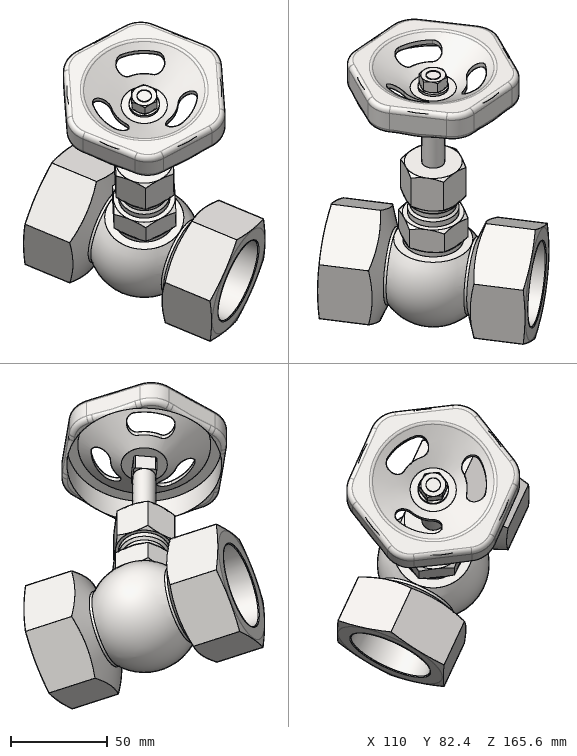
import cadquery as cq
import math

TAN30 = math.tan(math.radians(30))
COS30 = math.cos(math.radians(30))

body_length = 110.0
ball_radius = 29.0
neck_diameter = 41.0
body_hex_flats = 60.0
body_hex_inner_x = 27.9
neck_length = 1.5
end_face_radius = 29.5
end_chamfer = 1.0

bore_diameter = 44.8
bore_depth = 19.9
bore_chamfer = 0.5
cone_mouth_diameter = 30.3
passage_diameter = 15.0
passage_z = -7.0
passage_end_x = 13.3

collar_diameter = 31.5
bonnet_hex_flats = 32.0
bonnet_hex_bottom = 23.5
bonnet_hex_top = 38.0
thread_diameter = 26.7
groove_diameter = 23.9
groove_bottom = 42.6
groove_top = 45.3
groove_flank = 1.3
gland_hex_flats = 30.0
gland_hex_bottom = 49.4
gland_hex_top = 70.3

stem_diameter = 12.0
square_bottom = 105.8
square_side = 12.0
square_corner_diameter = 15.8
square_angle = 30.0

wheel_bottom = 115.0
wheel_height = 16.0
wheel_flats = 81.9
wheel_corner_radius = 15.0
wheel_edge_radius = 2.8
wheel_angle = 0.9
rim_roof_thickness = 1.2
cavity_diameter = 80.0
hub_diameter = 23.9
hub_thickness = 2.7
dish_radius = 32.2
dish_edge_radius = 3.0
slot_count = 3
slot_center_radius = 22.5
slot_width = 10.0
slot_half_angle = 20.0
slot_angle = 3.0

washer_diameter = 15.8
washer_thickness = 1.3
wheel_nut_flats = 13.0
wheel_nut_top = 125.8
stem_end_diameter = 7.5
stem_end_recess = 0.5

wheel_top = wheel_bottom + wheel_height
hub_top = wheel_bottom + hub_thickness
neck_radius = neck_diameter / 2
ball_flat_z = math.sqrt(ball_radius**2 - neck_radius**2)


def cylinder(diameter, z_low, z_high):
    return cq.Workplane("XY").workplane(offset=z_low).circle(diameter / 2).extrude(z_high - z_low)


def hexagon(flats, z_low, z_high):
    """Hexagonal prism with two corners on the X axis."""
    prism = cq.Workplane("XY").workplane(offset=z_low)
    return prism.polygon(6, flats / COS30).extrude(z_high - z_low)


def hex_nut(flats, z_low, z_high):
    """Hexagonal prism with 30 degree chamfers starting from the inscribed circle."""
    inscribed = flats / 2
    corner = inscribed / COS30
    drop = (corner - inscribed) * TAN30
    envelope = (
        cq.Workplane("XZ")
        .moveTo(0, z_low)
        .lineTo(inscribed, z_low)
        .lineTo(corner, z_low + drop)
        .lineTo(corner, z_high - drop)
        .lineTo(inscribed, z_high)
        .lineTo(0, z_high)
        .close()
        .revolve(360, (0, 0, 0), (0, 1, 0))
    )
    return hexagon(flats, z_low, z_high).intersect(envelope)


def port_end():
    """Hexagonal pipe end at -X, necked down towards the ball."""
    end_x = body_length / 2
    corner = body_hex_flats / 2 / COS30
    neck_x = ball_flat_z + neck_length
    envelope = (
        cq.Workplane("XY")
        .moveTo(0, 0)
        .lineTo(0, neck_radius)
        .lineTo(-neck_x, neck_radius)
        .lineTo(-body_hex_inner_x, corner)
        .lineTo(-end_x + end_chamfer, corner)
        .lineTo(-end_x, end_face_radius)
        .lineTo(-end_x, 0)
        .close()
        .revolve(360, (0, 0, 0), (1, 0, 0))
    )
    prism = (
        cq.Workplane("YZ")
        .polygon(6, 2 * corner)
        .extrude(-end_x)
        .rotate((0, 0, 0), (1, 0, 0), 90)
    )
    return prism.intersect(envelope)


def port_cavity():
    """Bore, conical bottom and offset passage of the -X port."""
    end_x = body_length / 2
    bore_radius = bore_diameter / 2
    floor_x = end_x - bore_depth
    cone_mouth_radius = cone_mouth_diameter / 2
    bore = (
        cq.Workplane("XY")
        .moveTo(-end_x, 0)
        .lineTo(-end_x, bore_radius + bore_chamfer)
        .lineTo(-end_x + bore_chamfer, bore_radius)
        .lineTo(-floor_x, bore_radius)
        .lineTo(-floor_x, cone_mouth_radius)
        .lineTo(-floor_x + cone_mouth_radius * TAN30, 0)
        .close()
        .revolve(360, (0, 0, 0), (1, 0, 0))
    )
    passage = (
        cq.Workplane("YZ")
        .workplane(offset=-floor_x)
        .center(0, passage_z)
        .circle(passage_diameter / 2)
        .extrude(floor_x - passage_end_x)
    )
    return bore.union(passage)


def valve_body():
    above_flat = cylinder(2 * ball_radius, ball_flat_z, ball_radius)
    ball = cq.Workplane("XY").sphere(ball_radius).cut(above_flat)
    end = port_end()
    cavity = port_cavity()
    body = ball.union(end).union(end.mirror("YZ"))
    return body.cut(cavity).cut(cavity.mirror("YZ"))


def bonnet():
    thread_radius = thread_diameter / 2
    groove_radius = groove_diameter / 2
    neck = (
        cq.Workplane("XZ")
        .moveTo(0, bonnet_hex_top)
        .lineTo(thread_radius, bonnet_hex_top)
        .lineTo(thread_radius, groove_bottom - groove_flank)
        .lineTo(groove_radius, groove_bottom)
        .lineTo(groove_radius, groove_top)
        .lineTo(thread_radius, groove_top + groove_flank)
        .lineTo(thread_radius, gland_hex_bottom)
        .lineTo(0, gland_hex_bottom)
        .close()
        .revolve(360, (0, 0, 0), (0, 1, 0))
    )
    collar = cylinder(collar_diameter, ball_flat_z, bonnet_hex_bottom)
    lower_hex = hex_nut(bonnet_hex_flats, bonnet_hex_bottom, bonnet_hex_top)
    gland_hex = hex_nut(gland_hex_flats, gland_hex_bottom, gland_hex_top)
    return collar.union(lower_hex).union(neck).union(gland_hex)


def spindle():
    stem = cylinder(stem_diameter, gland_hex_top, square_bottom)
    square = (
        cq.Workplane("XY")
        .workplane(offset=square_bottom)
        .rect(square_side, square_side)
        .extrude(wheel_bottom - square_bottom)
        .rotate((0, 0, 0), (0, 0, 1), square_angle)
        .intersect(cylinder(square_corner_diameter, square_bottom, wheel_bottom))
    )
    return stem.union(square)


def dish():
    """Conical hollow in the top of the wheel, rounded where it meets the top face."""
    slope = math.atan2(wheel_top - hub_top, dish_radius - hub_diameter / 2)
    tangent = dish_edge_radius * math.tan(slope / 2)
    outer = dish_radius + tangent
    arc_z = wheel_top - dish_edge_radius

    def arc_point(angle):
        return (outer - dish_edge_radius * math.sin(angle), arc_z + dish_edge_radius * math.cos(angle))

    return (
        cq.Workplane("XZ")
        .moveTo(0, hub_top)
        .lineTo(hub_diameter / 2, hub_top)
        .lineTo(*arc_point(slope))
        .threePointArc(arc_point(slope / 2), arc_point(0))
        .lineTo(0, wheel_top)
        .close()
        .revolve(360, (0, 0, 0), (0, 1, 0))
    )


def underside_cavity():
    """Ring-shaped hollow between the rim and the conical web."""
    roof_z = wheel_top - rim_roof_thickness
    slope = (wheel_top - hub_top) / (dish_radius - hub_diameter / 2)
    roof_inner = hub_diameter / 2 + (roof_z - wheel_bottom) / slope
    return (
        cq.Workplane("XZ")
        .moveTo(hub_diameter / 2, wheel_bottom)
        .lineTo(roof_inner, roof_z)
        .lineTo(cavity_diameter / 2, roof_z)
        .lineTo(cavity_diameter / 2, wheel_bottom)
        .close()
        .revolve(360, (0, 0, 0), (0, 1, 0))
    )


def wheel_slots():
    """Arc-shaped openings through the web."""
    end_angle = math.radians(slot_half_angle)
    inner = slot_center_radius - slot_width / 2
    outer = slot_center_radius + slot_width / 2

    def polar(radius, angle):
        return (radius * math.cos(angle), radius * math.sin(angle))

    band = (
        cq.Workplane("XY")
        .workplane(offset=wheel_bottom)
        .moveTo(*polar(inner, -end_angle))
        .lineTo(*polar(outer, -end_angle))
        .threePointArc((outer, 0), polar(outer, end_angle))
        .lineTo(*polar(inner, end_angle))
        .threePointArc((inner, 0), polar(inner, -end_angle))
        .close()
        .extrude(wheel_height)
    )
    ends = (
        cq.Workplane("XY")
        .workplane(offset=wheel_bottom)
        .pushPoints([polar(slot_center_radius, side * end_angle) for side in (-1, 1)])
        .circle(slot_width / 2)
        .extrude(wheel_height)
    )
    slot = band.union(ends)
    slots = cq.Workplane("XY")
    for i in range(slot_count):
        slots = slots.add(slot.rotate((0, 0, 0), (0, 0, 1), slot_angle + i * 360 / slot_count))
    return slots.combine()


def handwheel():
    rim = (
        hexagon(wheel_flats, wheel_bottom, wheel_top)
        .edges("|Z").fillet(wheel_corner_radius)
        .cut(underside_cavity())
        .faces(">Z or <Z").edges("%LINE").fillet(wheel_edge_radius)
    )
    wheel = rim.rotate((0, 0, 0), (0, 0, 1), wheel_angle)
    return wheel.cut(dish()).cut(wheel_slots())


def wheel_nut():
    washer = cylinder(washer_diameter, hub_top, hub_top + washer_thickness)
    nut = hex_nut(wheel_nut_flats, hub_top + washer_thickness, wheel_nut_top)
    recess = cylinder(stem_end_diameter, wheel_nut_top - stem_end_recess, wheel_nut_top)
    return washer.union(nut).cut(recess)


result = (
    valve_body()
    .union(bonnet())
    .union(spindle())
    .union(handwheel())
    .union(wheel_nut())
)